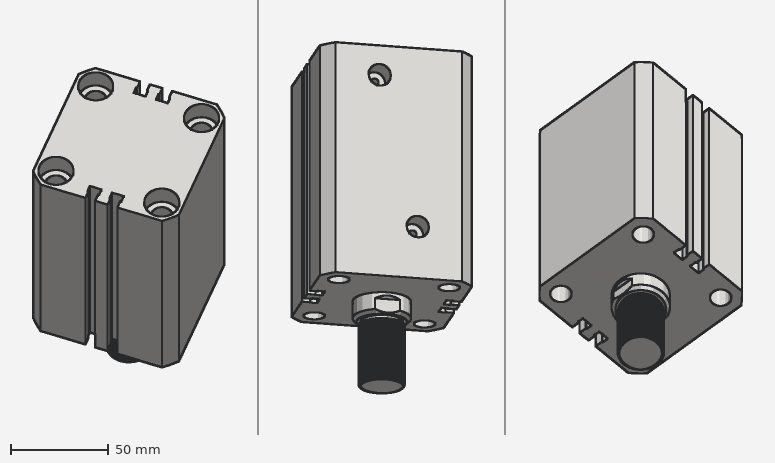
import cadquery as cq
import math

side = 80.0
half_side = side / 2
housing_height = 125.0
corner_radius = 52.0

bolt_spacing = 58.0
bolt_hole_diameter = 11.0
bolt_head_diameter = 18.0
bolt_head_depth = 11.2

slot_spacing = 12.2
slot_mouth_width = 5.3
slot_inner_width = 6.4
slot_mouth_depth = 4.4
slot_depth = 8.0

rod_diameter = 30.0
rod_radius = rod_diameter / 2
rod_seat_depth = 60.0
collar_length = 11.0
collar_chamfer = 2.0
neck_diameter = 22.0
neck_length = 2.0

flat_spacing = 27.0
flat_start = 3.2
flat_overcut = 1.0

thread_diameter = 24.0
thread_radius = thread_diameter / 2
thread_pitch = 1.5
thread_turns = 22
thread_length = thread_pitch * thread_turns
thread_top = -(collar_length + neck_length)
thread_bottom = thread_top - thread_length
thread_chamfer = 1.0
thread_depth = 0.92
root_radius = thread_radius - thread_depth
thread_crest = thread_pitch / 8
thread_root = thread_pitch / 4
flank_steps = 6
envelope_margin = 0.5

port_offset = 10.0
lower_port_height = 28.0
upper_port_height = 109.0
port_diameter = 11.6
port_depth = 12.0
port_taper = 1 / 16
port_taper_angle = math.degrees(math.atan(port_taper / 2))
passage_diameter = 4.0
passage_end = 8.0


def upright_prism(x_size, y_size, x_centre, y_centre):
    """A rectangular prism through the full height of the housing."""
    return cq.Workplane("XY").center(x_centre, y_centre).rect(x_size, y_size).extrude(housing_height)


def sensor_slot(x_centre, y_side):
    """A slot whose inner part is wider than its mouth."""
    inner_depth = slot_depth - slot_mouth_depth
    mouth_y = y_side * (half_side - slot_mouth_depth / 2)
    inner_y = y_side * (half_side - slot_mouth_depth - inner_depth / 2)
    mouth = upright_prism(slot_mouth_width, slot_mouth_depth, x_centre, mouth_y)
    inner = upright_prism(slot_inner_width, inner_depth, x_centre, inner_y)
    return mouth.union(inner)


def air_port(y_centre, z_centre):
    """A tapered port and the narrow passage that runs on from it."""
    face = cq.Plane(origin=(-half_side, y_centre, z_centre), xDir=(0, 1, 0), normal=(1, 0, 0))
    mouth = cq.Workplane(face).circle(port_diameter / 2).extrude(port_depth, taper=port_taper_angle)
    passage = cq.Workplane(face).circle(passage_diameter / 2).extrude(half_side - passage_end)
    return mouth.union(passage)


def make_housing():
    turned_corners = cq.Workplane("XY").circle(corner_radius).extrude(housing_height)
    body = upright_prism(side, side, 0, 0).intersect(turned_corners)
    body = (
        body.faces(">Z").workplane()
        .rect(bolt_spacing, bolt_spacing, forConstruction=True).vertices()
        .cboreHole(bolt_hole_diameter, bolt_head_diameter, bolt_head_depth)
    )
    for x_side in (-1, 1):
        for y_side in (-1, 1):
            body = body.cut(sensor_slot(x_side * slot_spacing / 2, y_side))
    body = body.cut(air_port(-port_offset, lower_port_height))
    body = body.cut(air_port(port_offset, upper_port_height))
    rod_seat = cq.Workplane("XY").circle(rod_radius).extrude(rod_seat_depth)
    return body.cut(rod_seat)


def wrench_flat(x_side):
    """The material outside one flat, with a 45 degree run-out at its upper end."""
    inner_x = flat_spacing / 2
    outer_x = rod_radius + flat_overcut
    run_out = outer_x - inner_x
    outline = [
        (x_side * inner_x, -flat_start),
        (x_side * outer_x, -flat_start + run_out),
        (x_side * outer_x, -collar_length),
        (x_side * inner_x, -collar_length),
    ]
    return cq.Workplane("XZ").polyline(outline).close().extrude(rod_radius, both=True)


def thread_flank(start_angle, end_angle, start_radius, end_radius):
    """Points along one flank in a cut across the thread, where radius changes evenly with angle."""
    points = []
    for step in range(flank_steps + 1):
        fraction = step / flank_steps
        angle = start_angle + (end_angle - start_angle) * fraction
        radius = start_radius + (end_radius - start_radius) * fraction
        points.append((radius * math.cos(angle), radius * math.sin(angle)))
    return points


def make_thread():
    """A thread with flat crest and root, made by twisting its cross-section one turn per pitch."""
    root_edge = math.pi * thread_root / thread_pitch
    crest_edge = math.pi * (1 - thread_crest / thread_pitch)
    falling_flank = thread_flank(-crest_edge, -root_edge, thread_radius, root_radius)
    rising_flank = thread_flank(root_edge, crest_edge, root_radius, thread_radius)
    thread = (
        cq.Workplane("XY").workplane(offset=thread_bottom)
        .moveTo(*falling_flank[0])
        .spline(falling_flank[1:], includeCurrent=True)
        .threePointArc((root_radius, 0), rising_flank[0])
        .spline(rising_flank[1:], includeCurrent=True)
        .threePointArc((-thread_radius, 0), falling_flank[0])
        .close()
        .twistExtrude(thread_length, 360 * thread_turns)
    )
    envelope = cq.Workplane("XY").workplane(offset=thread_bottom).circle(thread_radius + envelope_margin)
    envelope = envelope.extrude(thread_length).faces("<Z").chamfer(thread_chamfer + envelope_margin)
    return thread.intersect(envelope)


def make_rod():
    shank = cq.Workplane("XY").workplane(offset=-collar_length).circle(rod_radius)
    shank = shank.extrude(collar_length + rod_seat_depth).faces("<Z").chamfer(collar_chamfer)
    for x_side in (-1, 1):
        shank = shank.cut(wrench_flat(x_side))
    neck = cq.Workplane("XY").workplane(offset=thread_top).circle(neck_diameter / 2).extrude(neck_length)
    return shank.union(neck).union(make_thread())


housing = make_housing()
rod = make_rod()

result = cq.Compound.makeCompound([housing.val(), rod.val()])